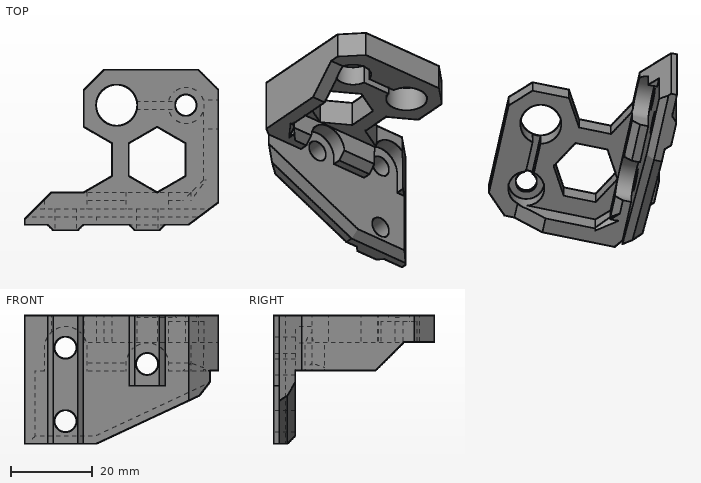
import cadquery as cq
import math

LENGTH = 47.5
DEPTH = 39.4
HEIGHT = 31.5

PLATE_THICK = 6.55
PLATE_LEFT = 14.5
BACK_CORNER = 4.95
LEFT_END_BACK = 2.8
FRONT_CORNER_X = 40.2
FRONT_CORNER_Y = 6.85

HEX_ACROSS_CORNERS = 16.0
HEX_X = 32.5
HEX_Y = 17.35

HOLE_ROW_Y = 30.7
BIG_HOLE_X = 22.55
BIG_HOLE_DIA = 10.0
SMALL_HOLE_X = 39.5
SMALL_HOLE_DIA = 5.2
SMALL_HOLE_LAND = 1.5
SMALL_RECESS_DIA = 8.85
SLIT_WIDTH = 2.0
SLIT_ROOF = 0.48

RAIL_HEIGHT = 1.4
WALL_BACK = 5.3
WALL_BOTTOM_END = 17.6
WALL_RIGHT_DROP = 17.55
EDGE_CHAMFER = 1.95

RAIL_1_X = 10.0
RAIL_2_X = 30.0
RAIL_BASE = 8.8
RAIL_CREST = 6.0
RAIL_2_DROP = 17.3
BOLT_DIA = 5.3
BOLT_HEAD_DIA = 10.45
BOLT_1_DROP = 7.95
BOLT_PITCH = 18.0
BOLT_3_DROP = 11.9

BODY_DROP = 13.6
RIB_LEFT = 43.8
RIB_CORNER = 3.1
RIB_BOTTOM_END = 24.95
BEVEL_SKEW = 1.37

shelf_back = HEX_Y - HEX_ACROSS_CORNERS / 2
left_diagonal = shelf_back - LEFT_END_BACK
body_height = BODY_DROP - PLATE_THICK


def block(x0, x1, y0, y1, z0, z1):
    """Box between two opposite corners."""
    return cq.Workplane("XY").box(x1 - x0, y1 - y0, z1 - z0, centered=False).translate((x0, y0, z0))


def vertical_hole(x, diameter, top=0.0):
    """Cylinder in the rear hole row, running down from the given height."""
    hole = cq.Workplane("XY").workplane(offset=top).center(x, HOLE_ROW_Y)
    return hole.circle(diameter / 2).extrude(-HEIGHT)


def hex_cutter(x):
    """Hexagonal column with corners pointing along Y."""
    hexagon = cq.Workplane("XY").polygon(6, HEX_ACROSS_CORNERS)
    return hexagon.extrude(-HEIGHT).rotate((0, 0, 0), (0, 0, 1), 90).translate((x, HEX_Y, 0))


def plan_column():
    """Full-height column with the outer plan outline, without the rails."""
    points = [
        (0, RAIL_HEIGHT),
        (0, LEFT_END_BACK),
        (left_diagonal, shelf_back),
        (PLATE_LEFT, shelf_back),
        (PLATE_LEFT, DEPTH - BACK_CORNER),
        (PLATE_LEFT + BACK_CORNER, DEPTH),
        (LENGTH - BACK_CORNER, DEPTH),
        (LENGTH, DEPTH - BACK_CORNER),
        (LENGTH, FRONT_CORNER_Y),
        (FRONT_CORNER_X, RAIL_HEIGHT),
    ]
    return cq.Workplane("XY").polyline(points).close().extrude(-HEIGHT)


def front_wall():
    """Wall with a sloping lower edge, chamfered along its back."""
    profile = [
        (0, 0),
        (LENGTH, 0),
        (LENGTH, -WALL_RIGHT_DROP),
        (WALL_BOTTOM_END, -HEIGHT),
        (0, -HEIGHT),
    ]
    wall = cq.Workplane("XZ", origin=(0, RAIL_HEIGHT, 0)).polyline(profile).close()
    wall = wall.extrude(RAIL_HEIGHT - WALL_BACK)
    lower_edges = cq.selectors.BoxSelector(
        (0.48, WALL_BACK - 0.48, -HEIGHT - 0.48), (LENGTH - 0.48, WALL_BACK + 0.48, -WALL_RIGHT_DROP)
    )
    return wall.faces(">Y").edges(lower_edges).chamfer(EDGE_CHAMFER)


def corner_bevel():
    """Skewed wedge that trims the underside of the shelf-to-rib corner."""
    x = RIB_LEFT - RIB_CORNER
    y = shelf_back - EDGE_CHAMFER
    run = math.hypot(1, BEVEL_SKEW)
    reach = 2 * RIB_CORNER
    plane = cq.Plane(origin=(x, y, -BODY_DROP), xDir=(-BEVEL_SKEW, 1, 0), normal=(1, BEVEL_SKEW, 0))
    wedge = cq.Workplane(plane).polyline([(0, 0), (reach, 0), (reach, run * reach)]).close()
    return wedge.extrude(reach).intersect(block(x, LENGTH, 0, shelf_back + RIB_CORNER, -HEIGHT, 0))


def under_body():
    """Chamfered shelf and right-hand rib hanging below the plate."""
    rib_end = RIB_BOTTOM_END + body_height
    points = [
        (0, RAIL_HEIGHT),
        (0, shelf_back),
        (RIB_LEFT - RIB_CORNER, shelf_back),
        (RIB_LEFT, shelf_back + RIB_CORNER),
        (RIB_LEFT, rib_end),
        (LENGTH, rib_end),
        (LENGTH, RAIL_HEIGHT),
    ]
    body = cq.Workplane("XY").workplane(offset=-BODY_DROP).polyline(points).close().extrude(body_height)
    shelf_edge = cq.selectors.NearestToPointSelector((LENGTH / 2, shelf_back, -BODY_DROP))
    body = body.edges(shelf_edge).chamfer(EDGE_CHAMFER)
    rib_slope = [
        (RIB_BOTTOM_END, -BODY_DROP),
        (rib_end, -BODY_DROP),
        (rib_end, -PLATE_THICK),
    ]
    slope_cut = cq.Workplane("YZ").polyline(rib_slope).close().extrude(LENGTH)
    return body.cut(slope_cut).cut(corner_bevel())


def rail(x, drop):
    """Trapezoidal rail on the front of the wall, narrowing toward the front."""
    points = [
        (x - RAIL_BASE / 2, RAIL_HEIGHT),
        (x - RAIL_CREST / 2, 0),
        (x + RAIL_CREST / 2, 0),
        (x + RAIL_BASE / 2, RAIL_HEIGHT),
    ]
    return cq.Workplane("XY").polyline(points).close().extrude(-drop)


def bolt_cutter(x, drop):
    """Cross bolt hole with a head clearance behind the wall, open downward."""
    radius = BOLT_HEAD_DIA / 2
    hole = cq.Workplane("XZ").center(x, -drop).circle(BOLT_DIA / 2).extrude(-WALL_BACK)
    head = cq.Workplane("XZ", origin=(0, WALL_BACK, 0)).center(x, -drop)
    head = head.circle(radius).extrude(WALL_BACK - HEX_Y)
    slot = block(x - radius, x + radius, WALL_BACK, HEX_Y, -HEIGHT, -drop)
    return hole.union(head).union(slot)


column = plan_column()
plate = block(0, LENGTH, 0, DEPTH, -PLATE_THICK, 0)
result = plate.union(front_wall()).union(under_body()).intersect(column)

for rail_x, rail_drop in ((RAIL_1_X, HEIGHT), (RAIL_2_X, RAIL_2_DROP)):
    result = result.union(rail(rail_x, rail_drop))

for hex_x in (HEX_X, PLATE_LEFT):
    result = result.cut(hex_cutter(hex_x))

result = result.cut(vertical_hole(BIG_HOLE_X, BIG_HOLE_DIA))
result = result.cut(vertical_hole(SMALL_HOLE_X, SMALL_HOLE_DIA))
result = result.cut(vertical_hole(SMALL_HOLE_X, SMALL_RECESS_DIA, -SMALL_HOLE_LAND))
slit_front = HOLE_ROW_Y - SLIT_WIDTH / 2
slit_back = HOLE_ROW_Y + SLIT_WIDTH / 2
result = result.cut(block(BIG_HOLE_X, SMALL_HOLE_X, slit_front, slit_back, -PLATE_THICK, -SLIT_ROOF))

bolts = (
    (RAIL_1_X, BOLT_1_DROP),
    (RAIL_1_X, BOLT_1_DROP + BOLT_PITCH),
    (RAIL_2_X, BOLT_3_DROP),
)
for bolt_x, bolt_drop in bolts:
    result = result.cut(bolt_cutter(bolt_x, bolt_drop))